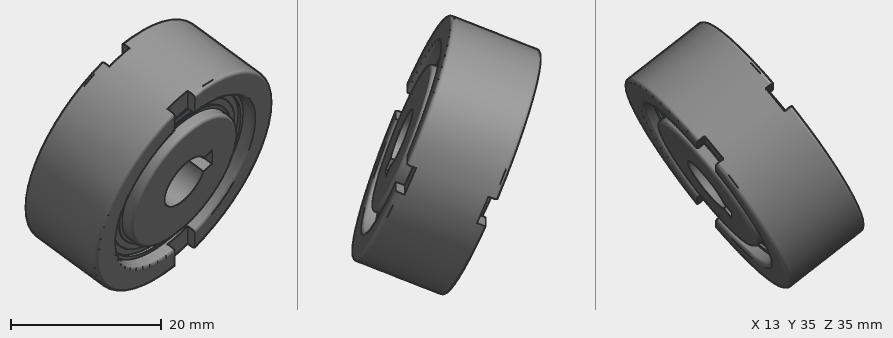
import cadquery as cq

outer_radius = 17.5
width = 13.0
edge_radius = 0.5

rim_inner_radius = 13.5
hub_radius = 10.5
recess_depth = 1.75

groove_outer_radius = 13.0
groove_middle_radius = 12.0
groove_inner_radius = 11.0
groove_outer_depth = 0.42
groove_inner_depth = 0.2

bore_radius = 4.0
key_width = 3.0
key_reach = 5.4

slot_width = 4.0
slot_depth = 1.3


def ring(outer, inner, depth, start):
    """Ring lying on the plane x = start and extending by depth along +X."""
    return cq.Workplane("YZ", origin=(start, 0, 0)).circle(outer).circle(inner).extrude(depth)


def both_faces(cutter):
    """Cutter together with its mirror image on the opposite face."""
    return cutter.union(cutter.mirror("YZ"))


def make_body():
    disc = cq.Workplane("YZ").circle(outer_radius).extrude(width).translate((-width / 2, 0, 0))
    recess = ring(rim_inner_radius, hub_radius, recess_depth, -width / 2)
    body = disc.cut(both_faces(recess))
    return body.faces("<X or >X").edges().fillet(edge_radius)


def make_floor_grooves():
    floor = recess_depth - width / 2
    outer_part = ring(groove_outer_radius, groove_middle_radius, groove_outer_depth, floor)
    inner_part = ring(groove_middle_radius, groove_inner_radius, groove_inner_depth, floor)
    return both_faces(outer_part.union(inner_part))


def make_keyed_bore():
    bore = cq.Workplane("YZ").circle(bore_radius).extrude(width, both=True)
    key = cq.Workplane("XY").box(2 * width, key_reach, key_width).translate((0, key_reach / 2, 0))
    return bore.union(key)


def make_rim_slots():
    bar = cq.Workplane("XY").box(slot_depth, slot_width, 2 * outer_radius)
    bar = bar.translate(((slot_depth - width) / 2, 0, 0))
    hub_clearance = cq.Workplane("YZ").circle(rim_inner_radius).extrude(width, both=True)
    return both_faces(bar.cut(hub_clearance))


result = make_body().cut(make_floor_grooves()).cut(make_keyed_bore()).cut(make_rim_slots())